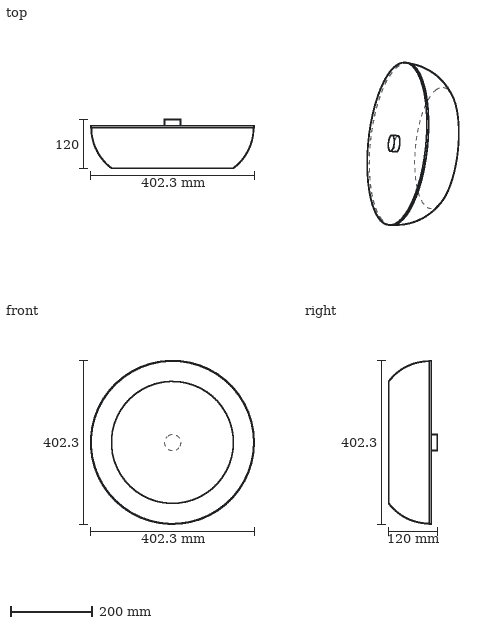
import cadquery as cq
import math


dome_rim_radius = 200.0
dome_face_radius = 150.0
dome_depth = 100.0

rim_to_face_step = dome_rim_radius - dome_face_radius
side_arc_radius = (dome_depth**2 + rim_to_face_step**2) / (2 * rim_to_face_step)
side_arc_center = dome_rim_radius - side_arc_radius
side_arc_angle = math.asin(dome_depth / side_arc_radius)

plate_diameter = 402.34
plate_thickness = 5.0

stem_diameter = 40.0
stem_length = 15.0


def make_dome():
    """Solid dome, revolved about the Y axis from its half profile."""
    half_angle = side_arc_angle / 2
    arc_middle = (
        side_arc_center + side_arc_radius * math.cos(half_angle),
        -side_arc_radius * math.sin(half_angle),
    )
    return (
        cq.Workplane("XY")
        .lineTo(dome_rim_radius, 0)
        .threePointArc(arc_middle, (dome_face_radius, -dome_depth))
        .lineTo(0, -dome_depth)
        .close()
        .revolve(360, (0, 0, 0), (0, 1, 0))
    )


def make_disc(diameter, start_y, length):
    """Cylinder on the lamp's axis that runs from start_y toward +Y."""
    back_facing_plane = cq.Plane(origin=(0, start_y, 0), xDir=(1, 0, 0), normal=(0, 1, 0))
    return cq.Workplane(back_facing_plane).circle(diameter / 2).extrude(length)


dome = make_dome()
back_plate = make_disc(plate_diameter, 0, plate_thickness)
stem = make_disc(stem_diameter, plate_thickness, stem_length)

result = cq.Compound.makeCompound([dome.val(), back_plate.val(), stem.val()])